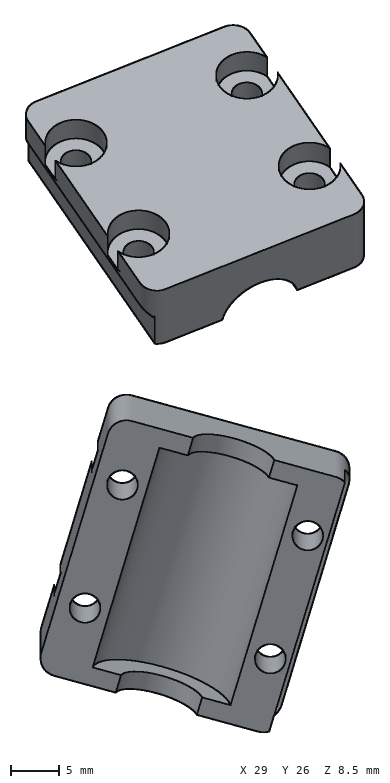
import cadquery as cq

length = 29.0
width = 26.0
height = 8.5
corner_radius = 2.0

hole_diameter = 3.2
counterbore_diameter = 6.4
counterbore_depth = 3.0
hole_columns_x = (-7.5, 6.5)
hole_row_offset_y = 10.0

channel_radius = 4.5
channel_axis_z = -1.0

seat_radius = 7.5
end_wall = 2.0
seat_length = length - 2 * end_wall

recess_depth = 0.9
recess_height = 5.0


def make_block():
    block = cq.Workplane("XY").box(length, width, height, centered=(True, True, False))
    return block.edges("|Z").fillet(corner_radius)


def channel_cylinder(radius, cylinder_length):
    profile = cq.Workplane("YZ").center(0, channel_axis_z).circle(radius)
    return profile.extrude(cylinder_length / 2, both=True)


def make_channel():
    return channel_cylinder(channel_radius, length).union(channel_cylinder(seat_radius, seat_length))


def make_recess():
    front_y = -width / 2
    recess = cq.Workplane("XY").box(length, recess_depth, recess_height, centered=(True, False, False))
    return recess.edges("|Y and >Z").fillet(corner_radius).translate((0, front_y, 0))


def cut_screw_holes(body):
    centres = [(x, side * hole_row_offset_y) for x in hole_columns_x for side in (-1, 1)]
    top = body.faces(">Z").workplane(origin=(0, 0, height))
    return top.pushPoints(centres).cboreHole(hole_diameter, counterbore_diameter, counterbore_depth)


result = cut_screw_holes(make_block().cut(make_channel()).cut(make_recess()))